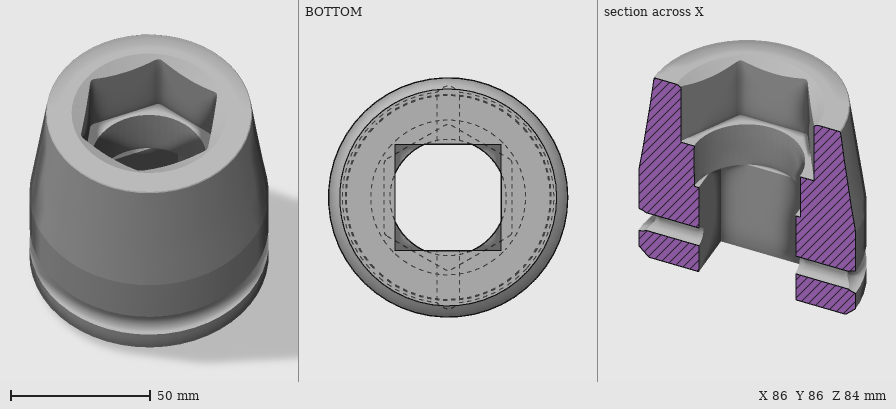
import cadquery as cq
import math

body_diameter = 86.0
body_radius = body_diameter / 2
height = 84.0
nose_radius = 37.0
nose_chamfer = 0.35
taper_start = 39.1
base_chamfer = 4.0

groove_height = 16.25
groove_radius = 5.0
pin_diameter = 8.0

hex_across_flats = 46.0
hex_depth = 26.2
hex_corner_radius = 2.5
lead_in_diameter = 55.6
lead_in_angle = 30.0
bore_diameter = 41.8
drive_square = 38.1
drive_depth = 39.1

hex_across_corners = hex_across_flats / math.cos(math.radians(30))


def make_body():
    """Revolve the outer profile, including the semicircular groove."""
    profile = (
        cq.Workplane("XZ")
        .lineTo(body_radius - base_chamfer, 0)
        .lineTo(body_radius, base_chamfer)
        .lineTo(body_radius, groove_height - groove_radius)
        .threePointArc(
            (body_radius - groove_radius, groove_height),
            (body_radius, groove_height + groove_radius),
        )
        .lineTo(body_radius, taper_start)
        .lineTo(nose_radius, height - nose_chamfer)
        .lineTo(nose_radius - nose_chamfer, height)
        .lineTo(0, height)
        .close()
    )
    return profile.revolve(360, (0, 0, 0), (0, 1, 0))


def make_hex_socket():
    """Round-cornered hexagonal pocket from the nose, two corners facing Y."""
    return (
        cq.Workplane("XY", origin=(0, 0, height - hex_depth))
        .transformed(rotate=(0, 0, 90))
        .polygon(6, hex_across_corners)
        .extrude(hex_depth)
        .edges("|Z")
        .fillet(hex_corner_radius)
    )


def make_lead_in():
    """Cone that opens the mouth of the hexagonal pocket."""
    mouth_radius = lead_in_diameter / 2
    cone_depth = mouth_radius * math.tan(math.radians(lead_in_angle))
    return (
        cq.Workplane("XZ", origin=(0, 0, height))
        .lineTo(mouth_radius, 0)
        .lineTo(0, -cone_depth)
        .close()
        .revolve(360, (0, 0, 0), (0, 1, 0))
    )


def make_bore():
    """Round clearance bore joining the hexagon to the drive square."""
    return (
        cq.Workplane("XY", origin=(0, 0, drive_depth))
        .circle(bore_diameter / 2)
        .extrude(height - drive_depth)
    )


def make_drive_square():
    """Square drive recess from the base."""
    return cq.Workplane("XY").rect(drive_square, drive_square).extrude(drive_depth)


def make_pin_hole():
    """Cross hole along Y through both walls at the groove."""
    return (
        cq.Workplane("XZ", origin=(0, 0, groove_height))
        .circle(pin_diameter / 2)
        .extrude(body_radius, both=True)
    )


result = (
    make_body()
    .cut(make_hex_socket())
    .cut(make_lead_in())
    .cut(make_bore())
    .cut(make_drive_square())
    .cut(make_pin_hole())
)